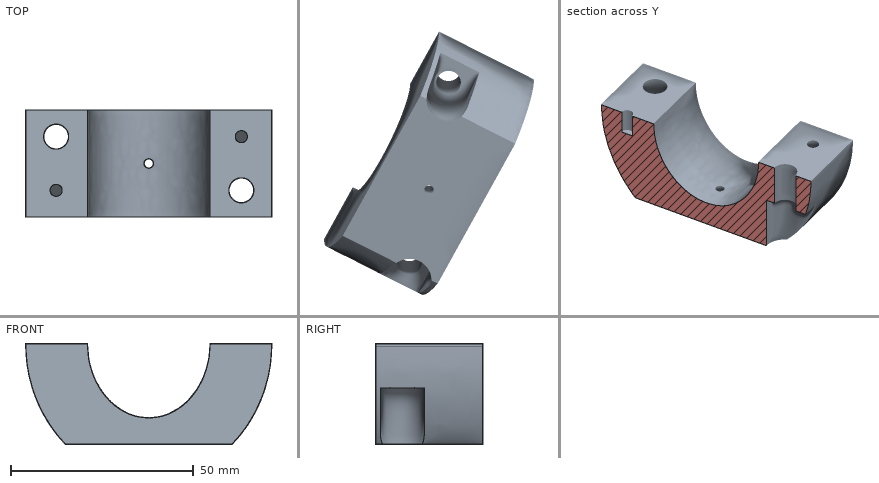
import cadquery as cq
import math

length = 67.65
width = 29.5
height = 27.75

flank_semi_height = 37.55
lip_height = 0.8
flank_semi_width = length / 2 / math.sqrt(1 - (lip_height / flank_semi_height) ** 2)

bore_semi_width = 16.85
bore_semi_height = 20.4

hole_x = 25.45
hole_y = 7.4
bolt_diameter = 6.75
pin_diameter = 3.3
pin_depth = 6.75
oil_diameter = 2.5

pocket_width = 12.05
seat_depth = 12.2


def elliptical_bar(semi_width, semi_height):
    """Bar along Y with an elliptical section centred on the split face."""
    section = cq.Workplane("XZ", origin=(0, width / 2, 0)).ellipse(semi_width, semi_height)
    return section.extrude(width)


def vertical_hole(x, y, diameter, depth):
    """Round cutter going down from the split face."""
    return cq.Workplane("XY").center(x, y).circle(diameter / 2).extrude(-depth)


def bolt_head_pocket(side):
    """U-shaped cutter below the bolt seat; side is +1 or -1 along X."""
    seat = cq.Workplane("XY", origin=(side * hole_x, -side * hole_y, -seat_depth))
    pocket_height = height - seat_depth
    round_end = seat.circle(pocket_width / 2).extrude(-pocket_height)
    run_out = length / 2 - hole_x
    open_end = seat.center(side * run_out / 2, 0).rect(run_out, pocket_width).extrude(-pocket_height)
    return round_end.union(open_end)


block = cq.Workplane("XY").box(length, width, height, centered=(True, True, False))
block = block.translate((0, 0, -height))
result = block.intersect(elliptical_bar(flank_semi_width, flank_semi_height))
result = result.cut(elliptical_bar(bore_semi_width, bore_semi_height))

result = result.cut(vertical_hole(0, 0, oil_diameter, height))

for side in (-1, 1):
    result = result.cut(vertical_hole(side * hole_x, -side * hole_y, bolt_diameter, height))
    result = result.cut(bolt_head_pocket(side))
    result = result.cut(vertical_hole(side * hole_x, side * hole_y, pin_diameter, pin_depth))